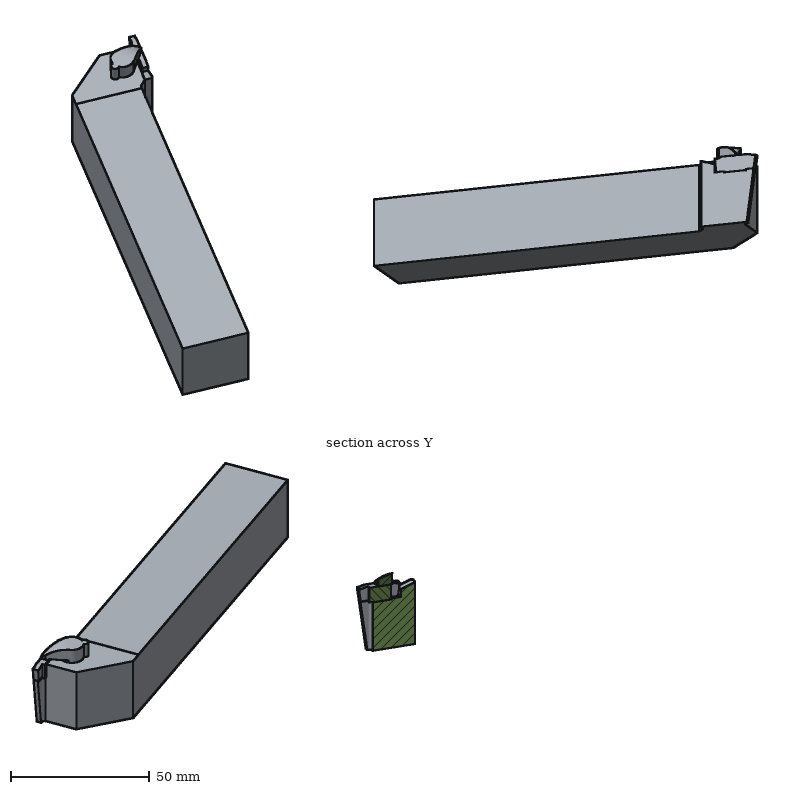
import cadquery as cq
import math

TOTAL_LENGTH = 150.0
SHANK_SIZE = 25.0
CLAMP_TOP_Z = 30.56
BLADE_BACK_Y = 30.5

HEAD_END_X = 25.0
HEAD_TOP_DROP = 0.1
HEAD_FRONT_X = 5.05
HEAD_CHAMFER = 15.4
HEAD_BACK_Y = 27.4
SHOULDER_RUN = 2.5

BLADE_SIDE_Y = 28.75
BLADE_ROOT_Y = 27.85
BLADE_STEP_X = 3.7
BLADE_ROOT_BOW = 0.25
BLADE_END_X = 21.4
BLADE_END_CHAMFER = 0.5
BLADE_RAMP_RISE = 2.0
FRONT_RELIEF = 3.4

INSERT_LENGTH = 15.8
INSERT_TOP_Z = 25.5
INSERT_END_BOTTOM_Z = 19.9
INSERT_BODY_BOTTOM_Z = 19.5
INSERT_BODY_SIDE_Y = 27.4
INSERT_TIP_SIDE_Y = 28.3
INSERT_TIP_LENGTH = 3.7
TIP_LAND = 1.1
CHIP_SLOPE_END = 2.7

BOSS_X = 13.75
BOSS_Y = 21.3
BOSS_RADIUS = 4.3
LOBE_X = 16.5
LOBE_Y = 17.65
LOBE_RADIUS = 1.5
ARM_LEFT = (9.75, 19.9)
ARM_RIGHT = (16.4, 24.9)
NOSE_LEFT_X = 6.8
NOSE_LEFT_Y = 28.6
NOSE_RIGHT_X = 7.8
ARM_BOTTOM_Z = 25.8
ARM_TOP_RADIUS = 13.5

HEAD_TOP_Z = SHANK_SIZE - HEAD_TOP_DROP
RELIEF_SLOPE = FRONT_RELIEF / SHANK_SIZE


def block(x0, x1, y0, y1, z0, z1):
    return cq.Workplane("XY").box(x1 - x0, y1 - y0, z1 - z0, centered=False).translate((x0, y0, z0))


def relief_x(z):
    """X of the leaning front edge at height z."""
    return RELIEF_SLOPE * (SHANK_SIZE - z)


def side_profile(points, y0, y1):
    """Prism along Y between y0 and y1 from (x, z) points."""
    return cq.Workplane("XZ", origin=(0, y1, 0)).polyline(points).close().extrude(y1 - y0)


def make_insert():
    """Narrow cutting bar with a lip at each end and a wider, deeper middle."""
    top_left = [
        (0, SHANK_SIZE),
        (TIP_LAND, SHANK_SIZE),
        (CHIP_SLOPE_END, INSERT_TOP_Z),
    ]
    top_right = [(INSERT_LENGTH - x, z) for x, z in reversed(top_left)]
    toe_x = relief_x(INSERT_END_BOTTOM_Z)
    bottom = [
        (INSERT_LENGTH - toe_x, INSERT_END_BOTTOM_Z),
        (toe_x, INSERT_END_BOTTOM_Z),
    ]
    core = side_profile(top_left + top_right + bottom, INSERT_TIP_SIDE_Y, BLADE_BACK_Y)
    body = block(
        INSERT_TIP_LENGTH, INSERT_LENGTH - INSERT_TIP_LENGTH,
        INSERT_BODY_SIDE_Y, BLADE_BACK_Y,
        INSERT_BODY_BOTTOM_Z, INSERT_TOP_Z,
    )
    return core.union(body)


def make_blade():
    """Thin support below the insert, with a ramp rising behind it."""
    plan = (
        cq.Workplane("XY")
        .moveTo(0, BLADE_BACK_Y)
        .lineTo(0, BLADE_SIDE_Y)
        .lineTo(BLADE_STEP_X, BLADE_SIDE_Y)
        .sagittaArc((HEAD_FRONT_X, BLADE_ROOT_Y), BLADE_ROOT_BOW)
        .lineTo(HEAD_FRONT_X, HEAD_BACK_Y)
        .lineTo(BLADE_END_X, HEAD_BACK_Y)
        .lineTo(BLADE_END_X, BLADE_BACK_Y - BLADE_END_CHAMFER)
        .lineTo(BLADE_END_X - BLADE_END_CHAMFER, BLADE_BACK_Y)
        .close()
        .extrude(HEAD_TOP_Z)
    )
    outline = side_profile(
        [
            (relief_x(0), 0),
            (relief_x(INSERT_END_BOTTOM_Z), INSERT_END_BOTTOM_Z),
            (INSERT_LENGTH, INSERT_END_BOTTOM_Z),
            (INSERT_LENGTH, HEAD_TOP_Z - BLADE_RAMP_RISE),
            (BLADE_END_X, HEAD_TOP_Z),
            (BLADE_END_X, 0),
        ],
        HEAD_BACK_Y, BLADE_BACK_Y,
    )
    return plan.intersect(outline)


def make_holder(insert):
    """Square shank, chamfered head and blade, with a seat for the insert."""
    shank = block(HEAD_END_X, TOTAL_LENGTH, 0, SHANK_SIZE, 0, SHANK_SIZE)
    head = (
        cq.Workplane("XY")
        .moveTo(HEAD_END_X, 0)
        .lineTo(HEAD_FRONT_X + HEAD_CHAMFER, 0)
        .lineTo(HEAD_FRONT_X, HEAD_CHAMFER)
        .lineTo(HEAD_FRONT_X, HEAD_BACK_Y)
        .lineTo(BLADE_END_X, HEAD_BACK_Y)
        .lineTo(BLADE_END_X + SHOULDER_RUN, SHANK_SIZE)
        .lineTo(HEAD_END_X, SHANK_SIZE)
        .close()
        .extrude(HEAD_TOP_Z)
    )
    seat = block(
        INSERT_TIP_LENGTH, INSERT_LENGTH,
        INSERT_BODY_SIDE_Y, BLADE_BACK_Y,
        INSERT_END_BOTTOM_Z, INSERT_TOP_Z,
    )
    return shank.union(head).union(make_blade()).cut(seat).cut(insert)


def make_clamp():
    """Round boss with a small lobe and a tapering arm that presses on the insert."""
    foot_z = HEAD_TOP_Z
    height = CLAMP_TOP_Z - foot_z
    boss = cq.Workplane("XY", origin=(BOSS_X, BOSS_Y, foot_z)).circle(BOSS_RADIUS).extrude(height)
    lobe = cq.Workplane("XY", origin=(LOBE_X, LOBE_Y, foot_z)).circle(LOBE_RADIUS).extrude(height)

    arm_plan = [
        ARM_LEFT,
        ARM_RIGHT,
        (NOSE_RIGHT_X, BLADE_BACK_Y),
        (NOSE_LEFT_X, BLADE_BACK_Y),
        (NOSE_LEFT_X, NOSE_LEFT_Y),
    ]
    arm = (
        cq.Workplane("XY", origin=(0, 0, INSERT_TOP_Z))
        .polyline(arm_plan).close()
        .extrude(CLAMP_TOP_Z - INSERT_TOP_Z)
    )
    gap = block(0, HEAD_END_X, 0, INSERT_BODY_SIDE_Y, foot_z, ARM_BOTTOM_Z)
    arm = arm.cut(gap)

    ridge_x = ARM_RIGHT[0] - ARM_LEFT[0]
    ridge_y = ARM_RIGHT[1] - ARM_LEFT[1]
    crown_plane = cq.Plane(
        origin=(ARM_LEFT[0], ARM_LEFT[1], CLAMP_TOP_Z - ARM_TOP_RADIUS),
        xDir=(-ridge_y, ridge_x, 0),
        normal=(ridge_x, ridge_y, 0),
    )
    reach = 2 * math.hypot(ridge_x, ridge_y)
    envelope = (
        cq.Workplane(crown_plane)
        .moveTo(0, ARM_TOP_RADIUS)
        .radiusArc((ARM_TOP_RADIUS, 0), ARM_TOP_RADIUS)
        .lineTo(-reach, 0)
        .lineTo(-reach, ARM_TOP_RADIUS)
        .close()
        .extrude(reach, both=True)
    )
    return boss.union(lobe).union(arm).intersect(envelope)


insert = make_insert()
holder = make_holder(insert)
clamp = make_clamp()

result = cq.Compound.makeCompound([holder.solids().val(), insert.solids().val(), clamp.solids().val()])